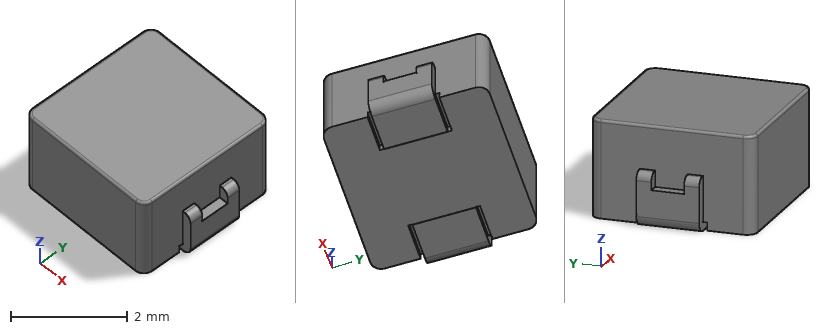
import cadquery as cq

body_side = 3.0
body_height = 1.8
corner_radius = 0.2
top_edge_radius = 0.05

terminal_width = 1.15
terminal_height = 1.0
upright_thickness = 0.2
top_bend_radius = 0.15
bottom_bend_radius = upright_thickness
foot_standoff = 0.01
foot_reach = 0.7
notch_width = 0.6
notch_depth = 0.3

recess_width = 1.3
recess_height = 0.15

half_side = body_side / 2
outer_x = half_side + upright_thickness
foot_tip_x = half_side - foot_reach
foot_bottom_z = -foot_standoff
terminal_top_z = foot_bottom_z + terminal_height


def make_body():
    body = (
        cq.Workplane("XY")
        .rect(body_side, body_side)
        .extrude(body_height)
        .edges("|Z")
        .fillet(corner_radius)
        .faces(">Z")
        .edges()
        .fillet(top_edge_radius)
    )
    for side in (-1, 1):
        recess = (
            cq.Workplane("XY")
            .center(side * (half_side - foot_reach / 2), 0)
            .rect(foot_reach, recess_width)
            .extrude(recess_height)
        )
        body = body.cut(recess)
    return body


def make_terminal():
    """L-shaped terminal for the +X end: an upright on the body wall and a foot in the recess."""
    terminal = (
        cq.Workplane("XZ")
        .moveTo(foot_tip_x, foot_bottom_z)
        .lineTo(outer_x, foot_bottom_z)
        .lineTo(outer_x, terminal_top_z)
        .lineTo(half_side, terminal_top_z)
        .lineTo(half_side, recess_height)
        .lineTo(foot_tip_x, recess_height)
        .close()
        .extrude(terminal_width / 2, both=True)
    )
    terminal = terminal.faces(">X").edges(">Z").fillet(top_bend_radius)
    terminal = terminal.faces(">X").edges("<Z").fillet(bottom_bend_radius)

    notch = (
        cq.Workplane("XY", origin=(half_side, 0, terminal_top_z - notch_depth))
        .rect(2 * upright_thickness, notch_width)
        .extrude(notch_depth)
    )
    return terminal.cut(notch)


body = make_body()
bodies = body.solids().vals()
for angle in (0, 180):
    terminal = make_terminal().rotate((0, 0, 0), (0, 0, 1), angle)
    bodies += terminal.solids().vals()

result = cq.Compound.makeCompound(bodies)